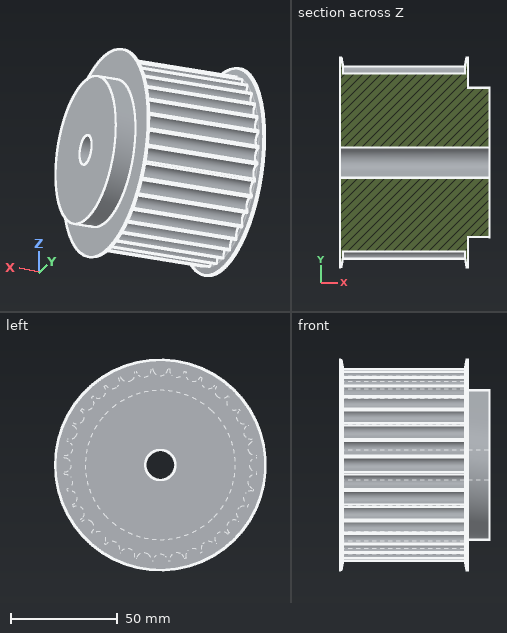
import cadquery as cq
import math

flange_radius = 49.25
bore_radius = 7.0
hub_radius = 35.02
hub_length = 10.0
overall_length = 70.0
rim_end = overall_length - hub_length

flange_edge_width = 0.8
flange_thickness = 1.5
flange_cone_root_radius = 45.3
first_flange_edge_drop = 0.3

tooth_count = 36
tip_radius = 45.1
land_width = 1.1
groove_depth = 3.4


def make_flange(outer_x, inward, edge_drop=0):
    """Flange disc with its flat outer face at outer_x; inward is +1 or -1 along X."""
    edge_x = outer_x + inward * flange_edge_width
    wall_x = outer_x + inward * flange_thickness
    profile = [
        (outer_x, 0),
        (outer_x, flange_radius),
        (edge_x, flange_radius - edge_drop),
        (wall_x, flange_cone_root_radius),
        (wall_x, 0),
    ]
    return cq.Workplane("XY").polyline(profile).close().revolve(360, (0, 0, 0), (1, 0, 0))


def polar(radius, angle):
    """Point in the YZ plane, with the angle measured from +Z."""
    return (radius * math.sin(angle), radius * math.cos(angle))


def make_toothed_rim():
    """Rim whose outline alternates round-bottomed grooves and narrow lands."""
    pitch_angle = 2 * math.pi / tooth_count
    half_groove_angle = (pitch_angle - land_width / tip_radius) / 2
    outline = cq.Workplane("YZ").moveTo(*polar(tip_radius, -half_groove_angle))
    for tooth in range(tooth_count):
        groove_angle = tooth * pitch_angle
        outline = outline.threePointArc(
            polar(tip_radius - groove_depth, groove_angle),
            polar(tip_radius, groove_angle + half_groove_angle),
        )
        outline = outline.threePointArc(
            polar(tip_radius, groove_angle + pitch_angle / 2),
            polar(tip_radius, groove_angle + pitch_angle - half_groove_angle),
        )
    return outline.close().extrude(rim_end)


hub = cq.Workplane("YZ").circle(hub_radius).extrude(overall_length)
bore = cq.Workplane("YZ").circle(bore_radius).extrude(overall_length)

result = (
    make_toothed_rim()
    .union(make_flange(0, 1, first_flange_edge_drop))
    .union(make_flange(rim_end, -1))
    .union(hub)
    .cut(bore)
)